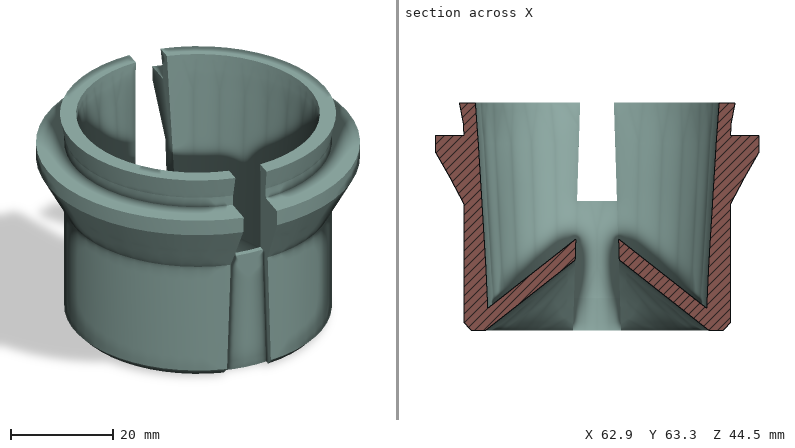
import cadquery as cq

total_height = 44.5
lip_bottom = 40.2
flange_top = 38.1
flange_bottom = 34.85
flare_bottom = 24.75
base_chamfer_height = 1.6

flange_radius = 31.65
lip_radius = 26.95
body_radius = 26.1
base_radius = 24.6

cavity_top_radius = 23.8
floor_rim_radius = 21.3
floor_rim_height = 4.4
floor_apex_height = 21.2
floor_slope = (floor_apex_height - floor_rim_height) / floor_rim_radius
underside_rim_radius = 21.75
underside_apex_height = underside_rim_radius * floor_slope

slot_top_width = 6.6
slot_bottom_width = 9.35

tongue_height = 25.25
tongue_outer_radius = 23.7
tongue_step_height = 6.3
cavity_draft = (cavity_top_radius - floor_rim_radius) / (total_height - floor_rim_height)
tongue_step_radius = floor_rim_radius + cavity_draft * (tongue_step_height - floor_rim_height)
tongue_top_inner_radius = floor_rim_radius + cavity_draft * (tongue_height - floor_rim_height)


def revolve_profile(points):
    """Revolve a closed (radius, height) outline about the Z axis."""
    return cq.Workplane("XZ").polyline(points).close().revolve(360, (0, 0, 0), (0, 1, 0))


def make_cup():
    return revolve_profile([
        (0, underside_apex_height),
        (underside_rim_radius, 0),
        (base_radius, 0),
        (body_radius, base_chamfer_height),
        (body_radius, flare_bottom),
        (flange_radius, flange_bottom),
        (flange_radius, flange_top),
        (body_radius, flange_top),
        (body_radius, lip_bottom),
        (lip_radius, total_height),
        (cavity_top_radius, total_height),
        (floor_rim_radius, floor_rim_height),
        (0, floor_apex_height),
    ])


def make_slot():
    """Slot along X, narrowing towards the top."""
    half_bottom = slot_bottom_width / 2
    half_top = slot_top_width / 2
    return (
        cq.Workplane("YZ")
        .polyline([
            (-half_bottom, 0),
            (half_bottom, 0),
            (half_top, total_height),
            (-half_top, total_height),
        ])
        .close()
        .extrude(flange_radius, both=True)
    )


def make_tongue(slot):
    """Curved wall filling the +X end of the slot, following the cavity draft."""
    ring = revolve_profile([
        (tongue_step_radius, 0),
        (tongue_outer_radius, 0),
        (tongue_outer_radius, tongue_height),
        (tongue_top_inner_radius, tongue_height),
        (tongue_step_radius, tongue_step_height),
    ])
    positive_x_half = cq.Workplane("XY").box(
        flange_radius, 2 * flange_radius, total_height, centered=(False, True, False)
    )
    return ring.intersect(slot).intersect(positive_x_half)


slot = make_slot()
result = make_cup().cut(slot).union(make_tongue(slot))